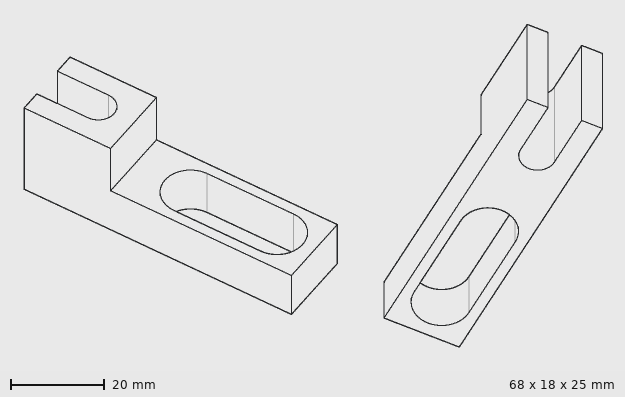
import cadquery as cq

LENGTH = 68.0
WIDTH = 18.0
HEIGHT = 25.0

HEAD_LENGTH = 22.0
ARM_HEIGHT = 12.0

FORK_WIDTH = 8.0
FORK_DEPTH = 17.0

SLOT_WIDTH = 13.0
SLOT_START = 30.0
SLOT_END = 65.0


def stepped_body():
    """L-shaped side profile extruded across the width, centred on Y = 0."""
    return (
        cq.Workplane("XZ")
        .moveTo(0, 0)
        .lineTo(LENGTH, 0)
        .lineTo(LENGTH, ARM_HEIGHT)
        .lineTo(HEAD_LENGTH, ARM_HEIGHT)
        .lineTo(HEAD_LENGTH, HEIGHT)
        .lineTo(0, HEIGHT)
        .close()
        .extrude(WIDTH / 2, both=True)
    )


def fork_cutter():
    """U-shaped prism that opens the head towards -X."""
    radius = FORK_WIDTH / 2
    arc_start = FORK_DEPTH - radius
    return (
        cq.Workplane("XY")
        .moveTo(0, -radius)
        .lineTo(arc_start, -radius)
        .threePointArc((FORK_DEPTH, 0), (arc_start, radius))
        .lineTo(0, radius)
        .close()
        .extrude(HEIGHT)
    )


def oblong_cutter():
    """Round-ended prism that passes through the full arm height."""
    return (
        cq.Workplane("XY")
        .center((SLOT_START + SLOT_END) / 2, 0)
        .slot2D(SLOT_END - SLOT_START, SLOT_WIDTH)
        .extrude(ARM_HEIGHT)
    )


result = stepped_body().cut(fork_cutter()).cut(oblong_cutter())